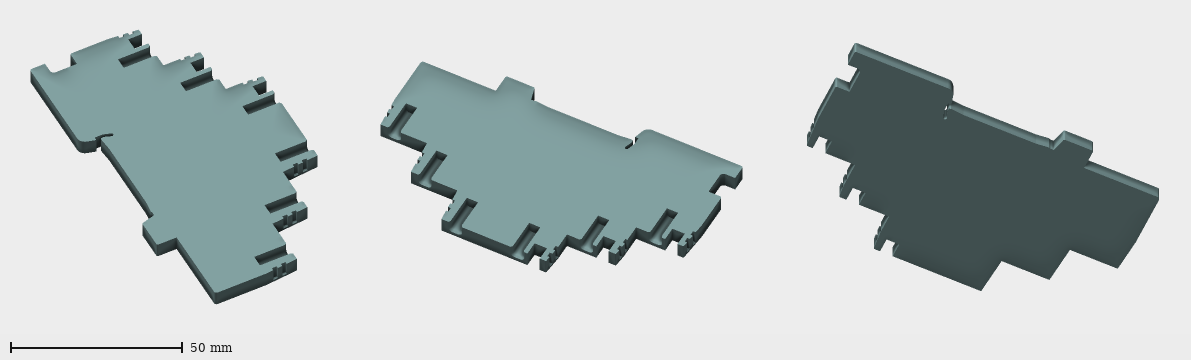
import cadquery as cq
import math

LENGTH = 101.9
HEIGHT = 59.2
THICKNESS = 5.1
TIER_RISE = 11.9
TIER_PITCH = 16.4
LEFT_WALL_PITCH = 16.5
WALL_DRAFT = math.tan(math.radians(5.0))
TIER_COUNT = 3
TIER_TOPS = [HEIGHT - TIER_RISE * (TIER_COUNT - 1 - tier) for tier in range(TIER_COUNT)]

LEFT_DRAFT_LENGTHS = [9.9, 4.3, 6.4]
SLIT_LEFT = 2.9
SLIT_WIDTH = 4.1
SLIT_DEPTH = 4.5
TAB_TIP_RADIUS = 0.3

RIGHT_TIER_INSET = 0.9
RIGHT_CORNER_RADIUS = 0.8

FOOT_TOP = 5.0
FOOT_NOTCH_TOP = 13.2
FOOT_CORNER_RADIUS = 0.5
FOOT_NOTCH_DEPTH = 4.4
FOOT_NOTCH_RADIUS = 1.2
FOOT_NOSE_START_X = 30.0
FOOT_NOSE_RADIUS = 2.5
FOOT_NOSE_LEAN = math.radians(15.0)
FOOT_LIP_Y = 4.7

SPRING_LEFT_X = 32.1
SPRING_RIGHT_X = 33.1
SPRING_BEND_Y = 7.2
SPRING_TIP_Y = 9.5
SPRING_TIP_RISE = 0.6
SPRING_WIDTH = 1.1
SPRING_LEAN = 0.7

SEAT_END_Y = 6.2
SEAT_Y = 6.4
SEAT_LEFT_X = 37.9
SEAT_RIGHT_X = 61.1
RIDGE_Y = 6.0
RIDGE_WIDTH = 0.6
LEFT_RIDGE_X = 33.7
RIGHT_RIDGE_X = 65.1
CATCH_TOP_X = 66.7
CATCH_BOTTOM_X = 67.9
CATCH_RIGHT_X = 77.4
CATCH_BOTTOM_Y = 1.6
CATCH_RADIUS = 0.5
RIGHT_BOTTOM_Y = 8.0

CHANNEL_CENTRE_X = 53.3
CHANNEL_INNER_OFFSET = 10.3
CHANNEL_WIDTH = 3.7
CHANNEL_DEPTH = 3.5
CHANNEL_LENGTH = 10.7
CHANNEL_RADIUS = 1.0
FLARE_LENGTH = 0.6
FLARE_WIDTH = 0.4

GROOVES_PER_WALL = 2
GROOVE_WIDTH = 1.5
GROOVE_DEPTH = 0.8
GROOVE_PITCH = 3.1
GROOVE_FLOOR_Z = 0.7
LEFT_GROOVE_DROP = 2.6
RIGHT_GROOVE_DROP = 4.3


def left_tip_x(tier):
    return LEFT_WALL_PITCH * tier + LEFT_DRAFT_LENGTHS[tier] * WALL_DRAFT


def right_tip_x(tier):
    return LENGTH - RIGHT_TIER_INSET - TIER_PITCH * tier


def plate():
    """Outline drawn clockwise from the lower left corner, then extruded."""
    outline = (
        cq.Workplane("XY")
        .moveTo(FOOT_CORNER_RADIUS, 0)
        .radiusArc((0, FOOT_CORNER_RADIUS), FOOT_CORNER_RADIUS)
        .lineTo(0, FOOT_TOP)
        .lineTo(FOOT_NOTCH_DEPTH - FOOT_NOTCH_RADIUS, FOOT_TOP)
        .radiusArc((FOOT_NOTCH_DEPTH, FOOT_TOP + FOOT_NOTCH_RADIUS), -FOOT_NOTCH_RADIUS)
        .lineTo(FOOT_NOTCH_DEPTH, FOOT_NOTCH_TOP)
        .lineTo(FOOT_CORNER_RADIUS, FOOT_NOTCH_TOP)
        .radiusArc((0, FOOT_NOTCH_TOP + FOOT_CORNER_RADIUS), FOOT_CORNER_RADIUS)
    )
    for tier, top in enumerate(TIER_TOPS):
        wall_x = LEFT_WALL_PITCH * tier
        if tier > 0:
            outline = outline.lineTo(wall_x, TIER_TOPS[tier - 1])
        outline = outline.lineTo(wall_x, top - LEFT_DRAFT_LENGTHS[tier]).lineTo(left_tip_x(tier), top)
    for tier in reversed(range(TIER_COUNT)):
        top = TIER_TOPS[tier]
        tip_x = right_tip_x(tier)
        outline = outline.lineTo(tip_x, top)
        if tier > 0:
            outline = outline.lineTo(tip_x + TIER_RISE * WALL_DRAFT, TIER_TOPS[tier - 1])
    outline = (
        outline.lineTo(LENGTH, TIER_TOPS[0] - RIGHT_TIER_INSET / WALL_DRAFT)
        .lineTo(LENGTH, RIGHT_BOTTOM_Y + RIGHT_CORNER_RADIUS)
        .radiusArc((LENGTH - RIGHT_CORNER_RADIUS, RIGHT_BOTTOM_Y), RIGHT_CORNER_RADIUS)
        .lineTo(CATCH_RIGHT_X, RIGHT_BOTTOM_Y)
        .lineTo(CATCH_RIGHT_X, CATCH_BOTTOM_Y + CATCH_RADIUS)
        .radiusArc((CATCH_RIGHT_X - CATCH_RADIUS, CATCH_BOTTOM_Y), CATCH_RADIUS)
        .lineTo(CATCH_BOTTOM_X + CATCH_RADIUS, CATCH_BOTTOM_Y)
        .radiusArc((CATCH_BOTTOM_X, CATCH_BOTTOM_Y + CATCH_RADIUS), CATCH_RADIUS)
        .lineTo(CATCH_TOP_X, SEAT_END_Y)
        .lineTo(RIGHT_RIDGE_X + RIDGE_WIDTH, SEAT_END_Y)
        .lineTo(RIGHT_RIDGE_X, RIDGE_Y)
        .lineTo(SEAT_RIGHT_X, SEAT_Y)
        .lineTo(SEAT_LEFT_X, SEAT_Y)
        .lineTo(LEFT_RIDGE_X, RIDGE_Y)
        .lineTo(SPRING_RIGHT_X, SEAT_END_Y)
        .lineTo(SPRING_RIGHT_X, SPRING_BEND_Y)
    )
    nose_x = FOOT_NOSE_START_X + FOOT_NOSE_RADIUS * math.cos(FOOT_NOSE_LEAN)
    nose_y = FOOT_NOSE_RADIUS * (1 - math.sin(FOOT_NOSE_LEAN))
    lip_x = nose_x + (FOOT_LIP_Y - nose_y) * math.tan(FOOT_NOSE_LEAN)
    tip_left = SPRING_LEFT_X + SPRING_LEAN
    tip_right = tip_left + SPRING_WIDTH
    return (
        outline.lineTo(tip_right, SPRING_TIP_Y)
        .threePointArc(((tip_left + tip_right) / 2, SPRING_TIP_Y + SPRING_TIP_RISE), (tip_left, SPRING_TIP_Y))
        .lineTo(SPRING_LEFT_X, SPRING_BEND_Y)
        .lineTo(SPRING_LEFT_X, FOOT_LIP_Y)
        .lineTo(lip_x, FOOT_LIP_Y)
        .lineTo(nose_x, nose_y)
        .radiusArc((FOOT_NOSE_START_X, 0), FOOT_NOSE_RADIUS)
        .close()
        .extrude(THICKNESS)
    )


def round_tab_tips(body):
    """Round the outer upper corner of each left tier."""
    reach = TAB_TIP_RADIUS / 2
    for tier, top in enumerate(TIER_TOPS):
        x = left_tip_x(tier)
        corner = cq.selectors.BoxSelector((x - reach, top - reach, 0), (x + reach, top + reach, THICKNESS))
        body = body.edges("|Z").edges(corner).fillet(TAB_TIP_RADIUS)
    return body


def slit(tier):
    """Through slit that frees the tab at the left end of a tier."""
    corner = (SLIT_LEFT + TIER_PITCH * tier, TIER_TOPS[tier] - SLIT_DEPTH)
    return cq.Workplane("XY").moveTo(*corner).rect(SLIT_WIDTH, SLIT_DEPTH, centered=False).extrude(THICKNESS)


def channel(x, top):
    """Round-cornered channel running down from a tier top, flared at its mouth."""

    def section(margin, length, taper):
        tool_height = 2 * CHANNEL_DEPTH
        sketch = (
            cq.Sketch()
            .rect(CHANNEL_WIDTH + 2 * margin, tool_height + 2 * margin)
            .vertices()
            .fillet(CHANNEL_RADIUS + margin)
        )
        mouth = cq.Workplane("XZ", origin=(x, top, THICKNESS))
        return mouth.placeSketch(sketch).extrude(length, taper=taper)

    flare_angle = math.degrees(math.atan2(FLARE_WIDTH, FLARE_LENGTH))
    return section(0, CHANNEL_LENGTH, 0).union(section(FLARE_WIDTH, FLARE_LENGTH, flare_angle))


def grooves(tip_x, top, first_drop, side):
    """Blind grooves, parallel to X, in a drafted wall; side is -1 on the left and 1 on the right."""
    cutters = cq.Workplane("XY")
    for index in range(GROOVES_PER_WALL):
        drop = first_drop + index * GROOVE_PITCH
        wall_x = tip_x + side * drop * WALL_DRAFT
        cutter = (
            cq.Workplane("XY", origin=(wall_x, top - drop, GROOVE_FLOOR_Z))
            .rect(2 * GROOVE_DEPTH, GROOVE_WIDTH)
            .extrude(THICKNESS - GROOVE_FLOOR_Z)
        )
        cutters = cutters.add(cutter)
    return cutters.combine()


result = round_tab_tips(plate())
for tier, top in enumerate(TIER_TOPS):
    channel_offset = CHANNEL_INNER_OFFSET + TIER_PITCH * (TIER_COUNT - 1 - tier)
    result = result.cut(slit(tier))
    for side in (-1, 1):
        result = result.cut(channel(CHANNEL_CENTRE_X + side * channel_offset, top))
    result = result.cut(grooves(left_tip_x(tier), top, LEFT_GROOVE_DROP, -1))
    result = result.cut(grooves(right_tip_x(tier), top, RIGHT_GROOVE_DROP, 1))